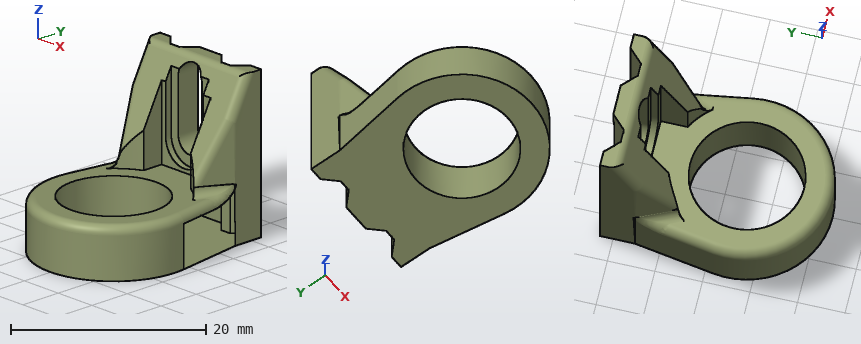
import cadquery as cq
import math

ring_diameter = 18.0
ring_radius = ring_diameter / 2
bore_diameter = 12.0
base_height = 6.0
edge_radius = 1.0

total_length = 22.7
total_height = 18.35
wall_width = 15.0
wall_thickness = 3.7
wall_top_thickness = 2.05
slope_angle = 27.8
left_gusset_angle = 24.0
right_gusset_angle = 22.0
clearance_radius = 8.18

pocket_width = 7.27
pocket_offset = 0.25
slot_width = 3.5
slot_bottom = 7.72
slot_top = 17.71
recess_width = 5.59
recess_bottom = 6.43
recess_depth = 2.9

groove_offset = 3.8
groove_floor_width = 1.36
groove_depth = 1.48
groove_angle = 45.0

back_y = total_length - ring_radius
wall_front_y = back_y - wall_thickness
half_wall = wall_width / 2
slope_tangent = math.tan(math.radians(slope_angle))
slope_foot_y = back_y - wall_top_thickness - (total_height - base_height) * slope_tangent


def make_base():
    """Teardrop plate: ring sides run tangentially out to the wall corners."""
    corner_distance = math.hypot(half_wall, wall_front_y)
    corner_angle = math.atan2(wall_front_y, half_wall)
    tangent_angle = corner_angle - math.acos(ring_radius / corner_distance)
    tangent_x = ring_radius * math.cos(tangent_angle)
    tangent_y = ring_radius * math.sin(tangent_angle)
    return (
        cq.Workplane("XY")
        .moveTo(half_wall, back_y)
        .lineTo(half_wall, wall_front_y)
        .lineTo(tangent_x, tangent_y)
        .threePointArc((0, -ring_radius), (-tangent_x, tangent_y))
        .lineTo(-half_wall, wall_front_y)
        .lineTo(-half_wall, back_y)
        .close()
        .extrude(base_height)
    )


def make_upright():
    """Wall and gussets: a tapering plan under a sloping front face."""
    gusset_length = wall_front_y - slope_foot_y
    left_foot_x = gusset_length * math.tan(math.radians(left_gusset_angle)) - half_wall
    right_foot_x = half_wall - gusset_length * math.tan(math.radians(right_gusset_angle))
    plan = (
        cq.Workplane("XY")
        .workplane(offset=base_height)
        .polyline([
            (half_wall, back_y),
            (half_wall, wall_front_y),
            (right_foot_x, slope_foot_y),
            (left_foot_x, slope_foot_y),
            (-half_wall, wall_front_y),
            (-half_wall, back_y),
        ])
        .close()
        .extrude(total_height - base_height)
    )
    profile = (
        cq.Workplane("YZ")
        .polyline([
            (back_y, base_height),
            (slope_foot_y, base_height),
            (back_y - wall_top_thickness, total_height),
            (back_y, total_height),
        ])
        .close()
        .extrude(half_wall, both=True)
    )
    return plan.intersect(profile)


def round_upright(upright):
    """Round the border of the sloping face and the wall-to-gusset corners."""
    angle = math.radians(slope_angle)
    slope_normal = cq.Vector(0, -math.cos(angle), math.sin(angle))
    slope_face = upright.faces(cq.selectors.DirectionMinMaxSelector(slope_normal))
    slope_border = slope_face.edges("not(<Z)").vals()
    corners = [
        edge for edge in upright.edges("|Z").vals()
        if abs(edge.Center().y - wall_front_y) < 0.002
    ]
    return upright.newObject(slope_border + corners).fillet(edge_radius)


def round_space(radius, bottom, height):
    return cq.Workplane("XY").workplane(offset=bottom).circle(radius).extrude(height)


def vertical_slot(width, bottom, top, depth):
    """Round-ended slot through Y, reaching forward from `depth` off the back."""
    return (
        cq.Workplane("XZ", origin=(0, back_y - depth, (bottom + top) / 2))
        .slot2D(top - bottom, width, 90)
        .extrude(total_length)
    )


def make_groove(center_x):
    half_floor = groove_floor_width / 2
    half_mouth = half_floor + groove_depth * math.tan(math.radians(groove_angle))
    return (
        cq.Workplane("XY")
        .polyline([
            (center_x - half_mouth, back_y),
            (center_x - half_floor, back_y - groove_depth),
            (center_x + half_floor, back_y - groove_depth),
            (center_x + half_mouth, back_y),
        ])
        .close()
        .extrude(total_height)
    )


def lies_level(edge, height):
    box = edge.BoundingBox()
    return abs(box.zmin - height) < 0.002 and abs(box.zmax - height) < 0.002


def fillet_gusset_roots(body):
    """Fillet the two straight edges where the gusset sides meet the plate."""
    roots = [
        edge for edge in body.edges("%LINE").vals()
        if lies_level(edge, base_height)
        and pocket_width / 2 < abs(edge.Center().x) < half_wall
        and edge.Center().y > slope_foot_y
    ]
    return body.newObject(roots).fillet(edge_radius)


def round_rim(body):
    """Round the plate's outer top edge, up onto the root fillets."""
    root_top = base_height + edge_radius
    rim = [
        edge for edge in body.edges().vals()
        if base_height - 0.002 < edge.BoundingBox().zmin
        and edge.BoundingBox().zmax < root_top + 0.002
        and (abs(edge.Center().x) > half_wall or edge.Center().y < 0)
    ]
    return body.newObject(rim).fillet(edge_radius)


sharp_upright = make_upright()
upright_height = total_height - base_height
above_roots = (
    cq.Workplane("XY")
    .workplane(offset=base_height + edge_radius)
    .rect(2 * total_length, 2 * total_length)
    .extrude(total_height)
)
lower = round_rim(fillet_gusset_roots(make_base().union(sharp_upright))).cut(above_roots)
upper = round_upright(sharp_upright).intersect(above_roots)
body = lower.union(upper)

body = body.cut(round_space(clearance_radius, base_height, upright_height))
body = body.cut(round_space(bore_diameter / 2, 0, base_height))

pocket = (
    cq.Workplane("XY")
    .workplane(offset=base_height)
    .center(pocket_offset, wall_front_y / 2)
    .rect(pocket_width, wall_front_y)
    .extrude(upright_height)
)
body = body.cut(pocket)
recess_top = total_height + recess_width
body = body.cut(vertical_slot(recess_width, recess_bottom, recess_top, recess_depth))
body = body.cut(vertical_slot(slot_width, slot_bottom, slot_top, 0))

for side in (-1, 1):
    body = body.cut(make_groove(side * groove_offset))

result = body